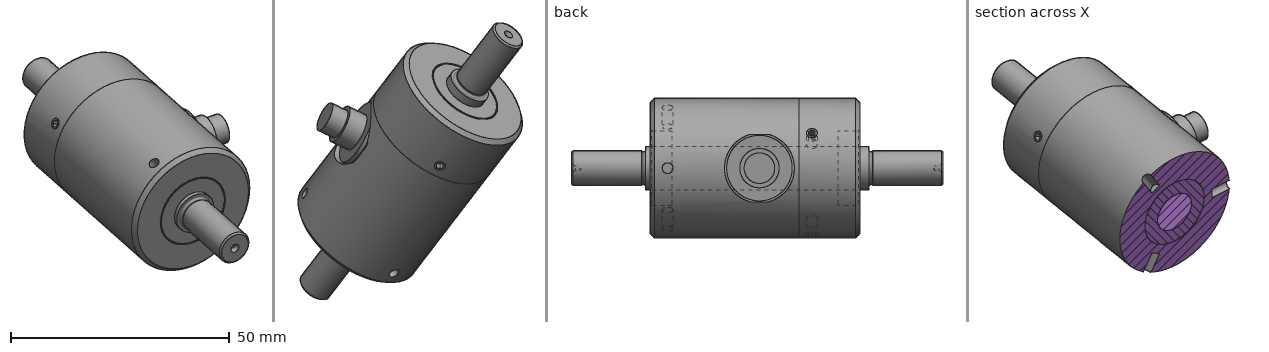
import cadquery as cq
import math


SHAFT_LENGTH = 85.0
JOURNAL_DIAMETER = 8.0
JOURNAL_LENGTH = 16.0
JOURNAL_CHAMFER = 0.4
COLLAR_DIAMETER = 10.0
UNDERCUT_DIAMETER = 7.6
UNDERCUT_WIDTH = 1.0
UNDERCUT_FILLET = 0.5
CENTRE_DRILL_DIAMETER = 1.0
CENTRE_DRILL_DEPTH = 2.0
CENTRE_DRILL_TIP_ANGLE = 120.0
CENTRE_SINK_DIAMETER = 2.12
CENTRE_SINK_ANGLE = 60.0

BODY_DIAMETER = 32.0
BODY_RADIUS = BODY_DIAMETER / 2
BODY_CHAMFER = 1.0
CAP_LEFT = 19.0
CAP_LENGTH = 14.0
SPLIT_X = CAP_LEFT + CAP_LENGTH
HOUSING_RIGHT = 67.0
HOUSING_LENGTH = HOUSING_RIGHT - SPLIT_X

RING_DIAMETER = 17.0
RING_LENGTH = 5.0
RING_GROOVE_DIAMETER = 17.5
RING_GROOVE_DEPTH = 0.3

RADIAL_COUNT = 3
RADIAL_HOLE_DIAMETER = 2.46
RADIAL_HOLE_DEPTH = 5.0
HOLE_END_DISTANCE = 4.0
HOLE_SPLIT_DISTANCE = 3.0
HOUSING_HOLE_X = HOUSING_RIGHT - HOLE_END_DISTANCE
CAP_HOLE_X = SPLIT_X - HOLE_SPLIT_DISTANCE
CAP_HOLE_START = 30.0
HOUSING_HOLE_START = 0.0

SCREW_LENGTH = RADIAL_HOLE_DEPTH
SOCKET_ACROSS_FLATS = 1.5
SOCKET_DEPTH = 2.5

CONNECTOR_X = 42.0
FLANGE_DIAMETER = 15.0
POCKET_FLOOR_Y = 14.0
POCKET_DIAMETER = 16.0
FLANGE_TOP_Y = 15.0
NUT_DIAMETER = 9.0
NUT_TOP_Y = 19.5
PLUG_DIAMETER = 7.0
PLUG_TOP_Y = 23.5


def cylinder_x(diameter, start, length):
    """Cylinder on the main axis, running from X = start towards +X."""
    return cq.Workplane("YZ").workplane(offset=start).circle(diameter / 2).extrude(length)


def cylinder_y(diameter, start, end):
    """Cylinder on the connector axis, between two Y positions."""
    plane = cq.Plane(origin=(CONNECTOR_X, start, 0), xDir=(1, 0, 0), normal=(0, 1, 0))
    return cq.Workplane(plane).circle(diameter / 2).extrude(end - start)


def radial_plane(x, angle, radius):
    """Plane at a radius about the main axis, facing inwards, with its local X across the main axis."""
    out_y = math.cos(math.radians(angle))
    out_z = math.sin(math.radians(angle))
    return cq.Plane(
        origin=(x, radius * out_y, radius * out_z),
        xDir=(0, -out_z, out_y),
        normal=(0, -out_y, -out_z),
    )


def radial_angles(start):
    return [start + i * 360.0 / RADIAL_COUNT for i in range(RADIAL_COUNT)]


def drill_radial_holes(body, x, start_angle):
    for angle in radial_angles(start_angle):
        plane = radial_plane(x, angle, BODY_RADIUS)
        hole = cq.Workplane(plane).circle(RADIAL_HOLE_DIAMETER / 2).extrude(RADIAL_HOLE_DEPTH)
        body = body.cut(hole)
    return body


def undercut_cutter():
    """Relief groove between the left journal and the collar, with a filleted collar side."""
    journal_radius = JOURNAL_DIAMETER / 2
    floor_radius = UNDERCUT_DIAMETER / 2
    slope_width = journal_radius - floor_radius
    collar_x = JOURNAL_LENGTH + UNDERCUT_WIDTH
    fillet_start_x = collar_x - UNDERCUT_FILLET
    fillet_top_radius = floor_radius + UNDERCUT_FILLET
    fillet_offset = UNDERCUT_FILLET * math.sqrt(0.5)
    outer_radius = COLLAR_DIAMETER / 2
    return (
        cq.Workplane("XY")
        .moveTo(JOURNAL_LENGTH, outer_radius)
        .lineTo(JOURNAL_LENGTH, journal_radius)
        .lineTo(JOURNAL_LENGTH + slope_width, floor_radius)
        .lineTo(fillet_start_x, floor_radius)
        .threePointArc(
            (fillet_start_x + fillet_offset, fillet_top_radius - fillet_offset),
            (collar_x, fillet_top_radius),
        )
        .lineTo(collar_x, outer_radius)
        .close()
        .revolve(360, (0, 0, 0), (1, 0, 0))
    )


def centre_drill_cutter():
    """Centre hole in the left shaft end: a small drill with a conical tip and countersink."""
    drill_radius = CENTRE_DRILL_DIAMETER / 2
    sink_radius = CENTRE_SINK_DIAMETER / 2
    tip_depth = drill_radius / math.tan(math.radians(CENTRE_DRILL_TIP_ANGLE / 2))
    sink_depth = (sink_radius - drill_radius) / math.tan(math.radians(CENTRE_SINK_ANGLE / 2))
    return (
        cq.Workplane("XY")
        .polyline([
            (0, 0),
            (0, sink_radius),
            (sink_depth, drill_radius),
            (CENTRE_DRILL_DEPTH, drill_radius),
            (CENTRE_DRILL_DEPTH + tip_depth, 0),
        ])
        .close()
        .revolve(360, (0, 0, 0), (1, 0, 0))
    )


def mirror_to_right_end(cutter):
    """Mirror a shaft feature from the left end to the right end."""
    return cutter.mirror("YZ", (SHAFT_LENGTH / 2, 0, 0))


def make_shaft():
    collar_start = JOURNAL_LENGTH
    collar_length = SHAFT_LENGTH - 2 * JOURNAL_LENGTH
    shaft = cylinder_x(JOURNAL_DIAMETER, 0, SHAFT_LENGTH).faces("<X or >X").chamfer(JOURNAL_CHAMFER)
    shaft = shaft.union(cylinder_x(COLLAR_DIAMETER, collar_start, collar_length))
    for cutter in (undercut_cutter(), centre_drill_cutter()):
        shaft = shaft.cut(cutter).cut(mirror_to_right_end(cutter))
    return shaft


def make_cap():
    cap = cylinder_x(BODY_DIAMETER, CAP_LEFT, CAP_LENGTH).faces("<X").chamfer(BODY_CHAMFER)
    cap = cap.cut(cylinder_x(COLLAR_DIAMETER, CAP_LEFT, CAP_LENGTH))
    cap = cap.cut(cylinder_x(RING_DIAMETER, CAP_LEFT, RING_LENGTH))
    cap = cap.cut(cylinder_x(RING_GROOVE_DIAMETER, CAP_LEFT, RING_GROOVE_DEPTH))
    return drill_radial_holes(cap, CAP_HOLE_X, CAP_HOLE_START)


def make_housing():
    housing = cylinder_x(BODY_DIAMETER, SPLIT_X, HOUSING_LENGTH).faces(">X").chamfer(BODY_CHAMFER)
    housing = housing.cut(cylinder_x(COLLAR_DIAMETER, SPLIT_X, HOUSING_LENGTH))
    housing = housing.cut(cylinder_x(RING_DIAMETER, HOUSING_RIGHT, -RING_LENGTH))
    housing = housing.cut(cylinder_x(RING_GROOVE_DIAMETER, HOUSING_RIGHT, -RING_GROOVE_DEPTH))
    housing = housing.cut(cylinder_y(POCKET_DIAMETER, POCKET_FLOOR_Y, BODY_RADIUS))
    return drill_radial_holes(housing, HOUSING_HOLE_X, HOUSING_HOLE_START)


def make_seal_ring(start):
    ring = cylinder_x(RING_DIAMETER, start, RING_LENGTH)
    return ring.cut(cylinder_x(COLLAR_DIAMETER, start, RING_LENGTH))


def make_connector():
    flange = cylinder_y(FLANGE_DIAMETER, POCKET_FLOOR_Y, FLANGE_TOP_Y)
    nut = cylinder_y(NUT_DIAMETER, FLANGE_TOP_Y, NUT_TOP_Y)
    plug = cylinder_y(PLUG_DIAMETER, NUT_TOP_Y, PLUG_TOP_Y)
    return flange.union(nut).union(plug)


def make_set_screw(angle):
    """Headless screw with a hexagon socket whose corners point around the cap."""
    plane = radial_plane(CAP_HOLE_X, angle, BODY_RADIUS)
    socket_corner_diameter = SOCKET_ACROSS_FLATS / math.cos(math.pi / 6)
    screw = cq.Workplane(plane).circle(RADIAL_HOLE_DIAMETER / 2).extrude(SCREW_LENGTH)
    socket = cq.Workplane(plane).polygon(6, socket_corner_diameter).extrude(SOCKET_DEPTH)
    return screw.cut(socket)


shaft = make_shaft()
cap = make_cap()
housing = make_housing()
connector = make_connector()
seal_rings = [make_seal_ring(start) for start in (CAP_LEFT, HOUSING_RIGHT - RING_LENGTH)]
set_screws = [make_set_screw(angle) for angle in radial_angles(CAP_HOLE_START)]

result = cq.Compound.makeCompound([
    shaft.val(),
    cap.val(),
    housing.val(),
    connector.val(),
    *[ring.val() for ring in seal_rings],
    *[screw.val() for screw in set_screws],
])